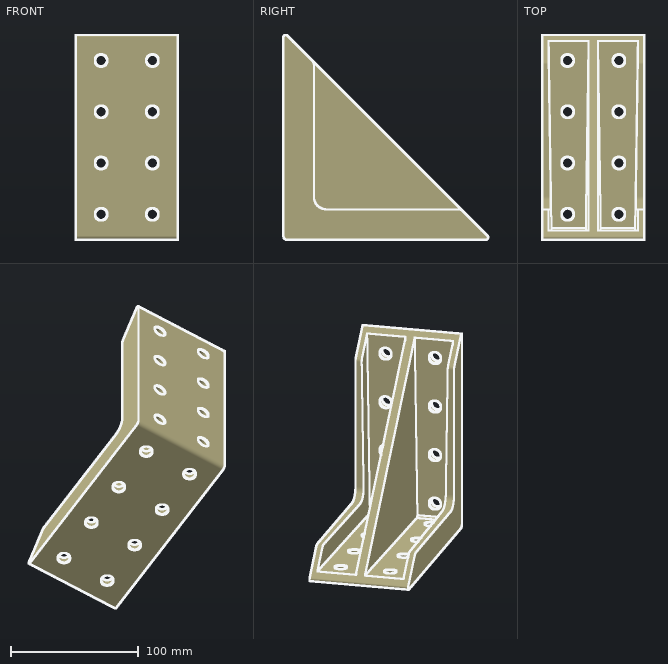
import cadquery as cq
import math

width = 80.0
leg = 160.2
tip_radius = 2.0
heel_radius = 3.0
plate_thickness = 7.5
side_wall = 5.1
rib_thickness = 7.4
draft_angle = 1.2
corner_bevel = 1.8
side_height = 23.9
side_inner_radius = 10.0
side_end_radius = 5.0
hole_diameter = 9.0
hole_chamfer = 0.5
hole_pitch = 40.0
holes_per_row = 4

slant = leg + tip_radius * math.sqrt(2)
hole_margin = (leg - (holes_per_row - 1) * hole_pitch) / 2
hole_offsets = [hole_margin + i * hole_pitch for i in range(holes_per_row)]
hole_rows = (-hole_pitch / 2, hole_pitch / 2)


def prism(points):
    """Extrude a (y, z) outline over the full width, centred on X = 0."""
    return cq.Workplane("YZ").polyline(points).close().extrude(width / 2, both=True)


def drafted_bar(x_start, x_end, taper_start, taper_end):
    """Bar along the slanted face; its sides shift in X by the tapers at full depth."""
    depth = slant / math.sqrt(2)
    middle = slant / 2
    across = cq.Plane(origin=(0, middle, middle), xDir=(1, 0, 0), normal=(0, 1, -1))
    shift = depth * math.tan(math.radians(draft_angle))
    outline = [
        (x_start, 0),
        (x_end, 0),
        (x_end + taper_end * shift, depth),
        (x_start + taper_start * shift, depth),
    ]
    return cq.Workplane(across).polyline(outline).close().extrude(slant, both=True)


def make_outer_triangle():
    triangle = prism([(0, 0), (slant, 0), (0, slant)])
    triangle = triangle.edges("|X").edges("<Y and <Z").fillet(heel_radius)
    for y, z in ((slant, 0), (0, slant)):
        triangle = triangle.edges(cq.selectors.NearestToPointSelector((0, y, z))).fillet(tip_radius)
    return triangle


def make_frame(triangle):
    """L-shaped block: the side wall outline over the full width."""
    far = slant - side_height
    opening = prism([(side_height, side_height), (slant, side_height), (slant, slant), (side_height, slant)])
    inner_corner = cq.selectors.NearestToPointSelector((0, side_height, side_height))
    frame = triangle.cut(opening.edges(inner_corner).fillet(side_inner_radius))
    for y, z in ((far, side_height), (side_height, far)):
        frame = frame.edges(cq.selectors.NearestToPointSelector((0, y, z))).fillet(side_end_radius)
    return frame


def make_pocket():
    """Pocket on the +X side of the rib, narrowing with depth."""
    near = plate_thickness
    far = slant - plate_thickness
    outline = prism([
        (near + corner_bevel, near),
        (far, near),
        (near, far),
        (near, near + corner_bevel),
    ])
    return outline.intersect(drafted_bar(rib_thickness / 2, width / 2 - side_wall, 1, -1))


def make_holes():
    """Through holes in both plates, chamfered at both faces of the plate."""
    radius = hole_diameter / 2
    rim = radius + hole_chamfer
    profile = [
        (0, 0),
        (rim, 0),
        (radius, hole_chamfer),
        (radius, plate_thickness - hole_chamfer),
        (rim, plate_thickness),
        (0, plate_thickness),
    ]
    base_hole = cq.Workplane("XZ").polyline(profile).close().revolve(360, (0, 0), (0, 1))
    front_hole = base_hole.rotate((0, 0, 0), (1, 0, 0), -90)
    holes = cq.Workplane()
    for x in hole_rows:
        for offset in hole_offsets:
            holes = holes.add(base_hole.translate((x, offset, 0)))
            holes = holes.add(front_hole.translate((x, 0, offset)))
    return holes.combine()


outer_triangle = make_outer_triangle()
pocket = make_pocket()
rib = outer_triangle.intersect(drafted_bar(-rib_thickness / 2, rib_thickness / 2, -1, 1))

result = make_frame(outer_triangle).cut(pocket).cut(pocket.mirror("YZ"))
result = result.union(rib).cut(make_holes())